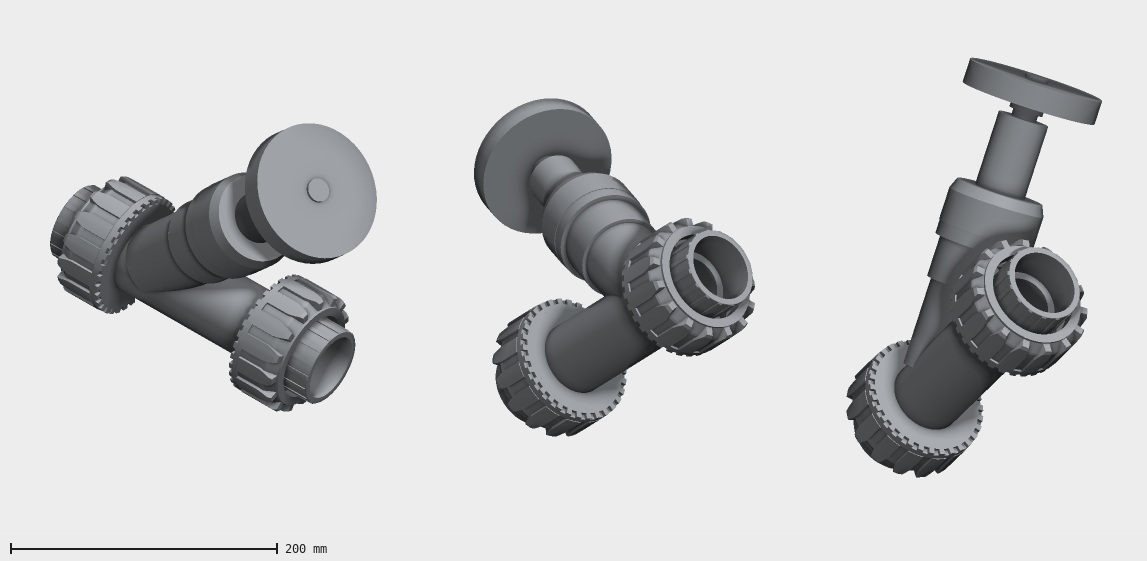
import cadquery as cq
import math

OVERALL_LENGTH = 270.2

RUN_LENGTH = 243.5
PIPE_DIA = 55.5
BORE_DIA = 40.0
NUT_BORE_DIA = 82.0

LIP_FACE = 18.5
PETAL_START = 20.3
POCKET_END = 27.0
LIP_BACK = 28.6
PETAL_FULL = 32.5
CONNECTOR_END = 43.2
PETAL_END = 52.0
TEETH_START = 56.5
NUT_END = 59.2

SPIGOT_DIA = 62.0
SPIGOT_BASE_DIA = 60.3
SPIGOT_CHAMFER = 1.0
SPIGOT_RIBS = 16
SPIGOT_RIB_WIDTH = 3.5
SOCKET_DIA = 51.0
SOCKET_DEPTH = 31.3
CONNECTOR_FLANGE_DIA = 77.8
GUSSETS = 8
GUSSET_WIDTH = 4.9
GUSSET_LENGTH = 5.5

LIP_DIA = 82.0
LIP_BORE_DIA = 68.0
GROOVE_RADIUS = 46.7
POCKET_TOP_RADIUS = 46.0
PETAL_RADIUS = 49.0
COLLAR_RADIUS = 48.5
PETALS = 15
PETAL_TIP_WIDTH = 5.5
PETAL_MID_WIDTH = 10.0
PETAL_WIDTH = 12.7
TIP_CHAMFER_LENGTH = 2.7
TIP_CHAMFER_HEIGHT = 1.4
TEETH = 32
NOTCH_WIDTH = 4.5
NOTCH_DEPTH = 4.3

BRANCH_ANGLE = 50.0
BRANCH_DIA = 58.5
BRANCH_START = 10.5
BRANCH_STEP = 78.4
BRANCH_HEAD_DIA = 64.9
BRANCH_END = 110.8

RING_DIA = 73.0
RING_END = 121.5
CAP_NUT_DIA = 74.0
CAP_NUT_SHOULDER = 146.7
CAP_NUT_END = 155.0
CAP_NUT_TOP_DIA = 67.0
GUIDE_DIA = 39.0
GUIDE_END = 212.7
STEM_DIA = 19.5
STEM_END = 218.3
HUB_DIA = 26.0
HUB_END = 225.0
WHEEL_DIA = 104.0
WHEEL_END = 243.5
BUTTON_DIA = 18.0
BUTTON_END = 246.0

ANGLE = math.radians(BRANCH_ANGLE)
WHEEL_RIGHT = WHEEL_END * math.cos(ANGLE) + WHEEL_DIA / 2 * math.sin(ANGLE)
RUN_LEFT = WHEEL_RIGHT - OVERALL_LENGTH
RUN_RIGHT = RUN_LEFT + RUN_LENGTH


def x_cylinder(diameter, start, end):
    """Cylinder on the X axis between two axial stations."""
    return cq.Workplane("YZ", origin=(start, 0, 0)).circle(diameter / 2).extrude(end - start)


def revolve_about_x(outline):
    """Ring from a closed outline of (axial station, radius) points."""
    return cq.Workplane("XY").polyline(outline).close().revolve(360, (0, 0, 0), (1, 0, 0))


def repeat_about_x(shape, count, first_angle):
    """Solids of evenly spaced copies of a shape, turned about the X axis."""
    pitch = 360 / count
    return [
        shape.rotate((0, 0, 0), (1, 0, 0), first_angle + index * pitch).val()
        for index in range(count)
    ]


def join_all(base, solids):
    """Fuse a workplane's solid with a list of solids."""
    return cq.Workplane(base.val().fuse(*solids).clean()).solids()


def on_branch_axis(shape):
    """Lay a shape built along X onto the inclined branch axis."""
    return shape.rotate((0, 0, 0), (0, 1, 0), -BRANCH_ANGLE)


def make_housing():
    left_end = RUN_LEFT + CONNECTOR_END
    right_end = RUN_RIGHT - CONNECTOR_END
    flange_length = NUT_END - CONNECTOR_END
    branch = x_cylinder(BRANCH_DIA, BRANCH_START, BRANCH_STEP)
    branch = branch.union(x_cylinder(BRANCH_HEAD_DIA, BRANCH_STEP, BRANCH_END))
    housing = x_cylinder(PIPE_DIA, left_end, right_end).union(on_branch_axis(branch))
    housing = housing.union(x_cylinder(NUT_BORE_DIA, left_end, left_end + flange_length))
    housing = housing.union(x_cylinder(NUT_BORE_DIA, right_end - flange_length, right_end))
    return housing.cut(x_cylinder(BORE_DIA, left_end, right_end))


def make_bonnet():
    outline = [
        (BRANCH_END, 0),
        (BRANCH_END, RING_DIA / 2),
        (RING_END, RING_DIA / 2),
        (RING_END, CAP_NUT_DIA / 2),
        (CAP_NUT_SHOULDER, CAP_NUT_DIA / 2),
        (CAP_NUT_END, CAP_NUT_TOP_DIA / 2),
        (CAP_NUT_END, GUIDE_DIA / 2),
        (GUIDE_END, GUIDE_DIA / 2),
        (GUIDE_END, STEM_DIA / 2),
        (STEM_END, STEM_DIA / 2),
        (STEM_END, HUB_DIA / 2),
        (HUB_END, HUB_DIA / 2),
        (HUB_END, WHEEL_DIA / 2),
        (WHEEL_END, WHEEL_DIA / 2),
        (WHEEL_END, BUTTON_DIA / 2),
        (BUTTON_END, BUTTON_DIA / 2),
        (BUTTON_END, 0),
    ]
    return on_branch_axis(revolve_about_x(outline))


def make_connector():
    base = x_cylinder(SPIGOT_BASE_DIA, 0, LIP_BACK)
    rib = cq.Workplane("XY").box(
        LIP_BACK, SPIGOT_RIB_WIDTH, SPIGOT_DIA / 2, centered=(False, True, False)
    )
    ribbed = join_all(base, repeat_about_x(rib, SPIGOT_RIBS, 0))
    envelope = x_cylinder(SPIGOT_DIA, 0, LIP_BACK).faces("<X").chamfer(SPIGOT_CHAMFER)
    connector = ribbed.intersect(envelope)
    connector = connector.union(x_cylinder(CONNECTOR_FLANGE_DIA, LIP_BACK, CONNECTOR_END))

    gusset = (
        cq.Workplane("XZ")
        .moveTo(LIP_BACK - GUSSET_LENGTH, BORE_DIA / 2)
        .lineTo(LIP_BACK - GUSSET_LENGTH, SPIGOT_BASE_DIA / 2)
        .lineTo(LIP_BACK, LIP_BORE_DIA / 2)
        .lineTo(LIP_BACK, BORE_DIA / 2)
        .close()
        .extrude(GUSSET_WIDTH / 2, both=True)
    )
    gusset = gusset.intersect(x_cylinder(LIP_BORE_DIA, 0, LIP_BACK))
    connector = join_all(connector, repeat_about_x(gusset, GUSSETS, 0))
    connector = connector.cut(x_cylinder(SOCKET_DIA, 0, SOCKET_DEPTH))
    return connector.cut(x_cylinder(BORE_DIA, 0, CONNECTOR_END))


def make_petal():
    """One grip petal pointing along +Z, rounded down to a narrow outer tip."""
    middle = (PETAL_START + PETAL_FULL) / 2
    plan = (
        cq.Workplane("XY")
        .moveTo(PETAL_START, -PETAL_TIP_WIDTH / 2)
        .threePointArc((middle, -PETAL_MID_WIDTH / 2), (PETAL_FULL, -PETAL_WIDTH / 2))
        .lineTo(PETAL_END, -PETAL_WIDTH / 2)
        .lineTo(PETAL_END, PETAL_WIDTH / 2)
        .lineTo(PETAL_FULL, PETAL_WIDTH / 2)
        .threePointArc((middle, PETAL_MID_WIDTH / 2), (PETAL_START, PETAL_TIP_WIDTH / 2))
        .close()
        .extrude(PETAL_RADIUS)
    )
    band = revolve_about_x([
        (PETAL_START, LIP_BORE_DIA / 2),
        (PETAL_START, PETAL_RADIUS - TIP_CHAMFER_HEIGHT),
        (PETAL_START + TIP_CHAMFER_LENGTH, PETAL_RADIUS),
        (PETAL_END, PETAL_RADIUS),
        (PETAL_END, NUT_BORE_DIA / 2),
        (LIP_BACK, NUT_BORE_DIA / 2),
        (LIP_BACK, LIP_BORE_DIA / 2),
    ])
    return plan.intersect(band)


def make_nut():
    ring = revolve_about_x([
        (LIP_FACE, LIP_BORE_DIA / 2),
        (LIP_FACE, LIP_DIA / 2),
        (PETAL_START, LIP_DIA / 2),
        (POCKET_END, POCKET_TOP_RADIUS),
        (LIP_BACK, GROOVE_RADIUS),
        (PETAL_END, GROOVE_RADIUS),
        (PETAL_END, COLLAR_RADIUS),
        (NUT_END, COLLAR_RADIUS),
        (NUT_END, NUT_BORE_DIA / 2),
        (LIP_BACK, NUT_BORE_DIA / 2),
        (LIP_BACK, LIP_BORE_DIA / 2),
    ])
    petal_pitch = 360 / PETALS
    petal_angle = 90 + petal_pitch / 2
    nut = join_all(ring, repeat_about_x(make_petal(), PETALS, petal_angle))

    notch = (
        cq.Workplane("XY", origin=(0, 0, COLLAR_RADIUS - NOTCH_DEPTH))
        .center((TEETH_START + NUT_END) / 2, 0)
        .rect(NUT_END - TEETH_START, NOTCH_WIDTH)
        .extrude(2 * NOTCH_DEPTH)
    )
    notches = repeat_about_x(notch, TEETH, 0)
    return cq.Workplane(nut.val().cut(*notches)).solids()


def at_both_ends(shape):
    """Place a shape at the left end of the run and its mirror image at the right end."""
    left = shape.translate((RUN_LEFT, 0, 0))
    right = shape.mirror("YZ").translate((RUN_RIGHT, 0, 0))
    return [left.val(), right.val()]


housing = make_housing()
bonnet = make_bonnet()
connectors = at_both_ends(make_connector())
nuts = at_both_ends(make_nut())

result = cq.Compound.makeCompound([housing.val(), bonnet.val(), *connectors, *nuts])